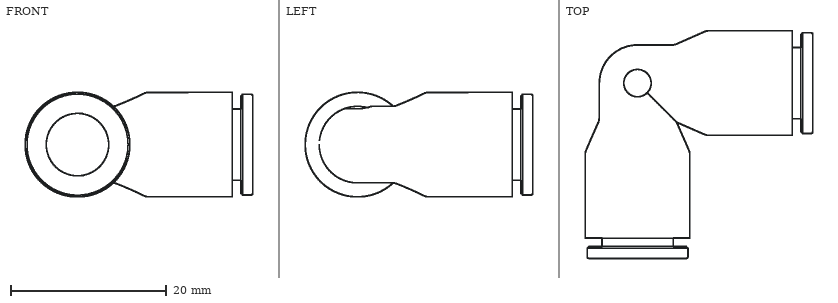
import cadquery as cq


overall_length = 29.35
body_radius = 6.75
arm_length = overall_length - body_radius

neck_radius = 4.93
stem_radius = 4.6
flange_radius = 6.52
bore_radius = 4.02

cone_start = 4.75
cone_end = 8.9
body_end = 19.95
flange_thickness = 1.55
flange_start = arm_length - flange_thickness

neck_blend = 1.15
shoulder_blend = 1.35
flange_chamfer = 0.25
flange_fillet = 0.3

margin = 0.03

recess_radius = 1.75
recess_depth = 0.7


def ring_at(distance, radius):
    """Select the circular edge of an X-axis arm at the given distance and radius."""
    reach = radius + margin
    return cq.selectors.BoxSelector(
        (distance - margin, -reach, -reach),
        (distance + margin, reach, reach),
        boundingbox=True,
    )


def make_arm():
    """Solid arm along +X: neck, cone, body, stem and release flange."""
    outline = [
        (0, 0),
        (0, neck_radius),
        (cone_start, neck_radius),
        (cone_end, body_radius),
        (body_end, body_radius),
        (body_end, stem_radius),
        (flange_start, stem_radius),
        (flange_start, flange_radius - flange_chamfer),
        (flange_start + flange_chamfer, flange_radius),
        (arm_length, flange_radius),
        (arm_length, 0),
    ]
    arm = cq.Workplane("XY").polyline(outline).close().revolve(360, (0, 0), (1, 0))
    arm = arm.edges(ring_at(cone_start, neck_radius)).fillet(neck_blend)
    arm = arm.edges(ring_at(cone_end, body_radius)).fillet(shoulder_blend)
    return arm.faces(">X").edges().fillet(flange_fillet)


def make_bore():
    """Straight bore of one arm, from the corner to the open end."""
    return cq.Workplane("YZ").circle(bore_radius).extrude(arm_length)


def make_elbow(arm, corner_radius):
    """Join an X-axis arm, its copy turned to -Y, and a ball at the corner."""
    turned_arm = arm.rotate((0, 0, 0), (0, 0, 1), -90)
    corner = cq.Workplane("XY").sphere(corner_radius)
    return arm.union(turned_arm).union(corner)


def make_recess():
    """Flat-bottomed round recess sunk into the top of the corner."""
    floor_height = neck_radius - recess_depth
    return (
        cq.Workplane("XY")
        .workplane(offset=floor_height)
        .circle(recess_radius)
        .extrude(neck_radius)
    )


outer = make_elbow(make_arm(), neck_radius)
passage = make_elbow(make_bore(), bore_radius)
result = outer.cut(passage).cut(make_recess())